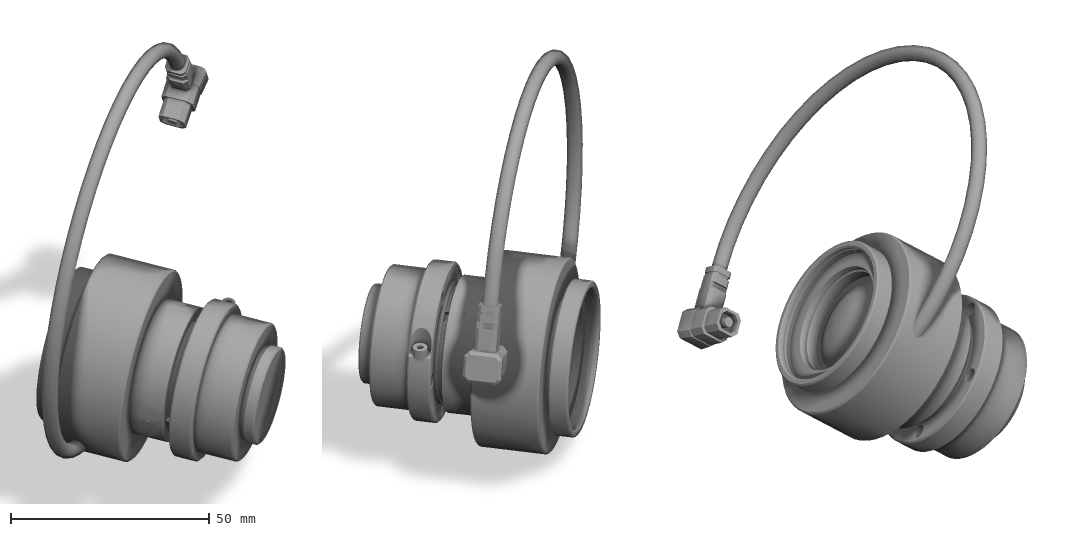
import cadquery as cq
import math

LENS_LENGTH = 55.55

FRONT_FLANGE_DIA = 39.9
FRONT_FLANGE_END = 5.0
FRONT_NECK_DIA = 31.4
FOCUS_RING_DIA = 50.0
FOCUS_RING_START = 6.4
FOCUS_RING_END = 24.0
BARREL_DIA = 35.1
BARREL_END = 32.9
GROOVE_DIA = 30.0
GROOVE_END = 34.5
GROOVE_RIDGE_DIA = 30.6
GROOVE_RIDGE_START = 33.7
GROOVE_RIDGE_END = 34.0
REAR_NECK_DIA = 31.2
CLAMP_DIA = 41.0
CLAMP_START = 35.4
CLAMP_END = 41.4
REAR_BARREL_DIA = 36.1
REAR_BARREL_END = 51.6
MOUNT_NECK_DIA = 24.4
MOUNT_DIA = 25.4
MOUNT_START = 52.4
EDGE_CHAMFER = 0.4

MOUTH_DIA = 37.0
THREAD_DIA = 36.2
MOUTH_DEPTH = 0.4
RECESS_DEPTH = 3.5
THREAD_GROOVE_COUNT = 2
FIRST_THREAD_GROOVE = 1.0
THREAD_GROOVE_PITCH = 1.4
THREAD_GROOVE_WIDTH = 0.6
THREAD_GROOVE_DIA = 36.6
SEAT_DIA = 28.6
SEAT_DEPTH = 5.4
RETAINER_DIA = 27.4
RETAINER_DEPTH = 8.5
GLASS_DIA = 24.0
GLASS_RADIUS = 24.5

SCREW_X = (CLAMP_START + CLAMP_END) / 2
SCREW_Y = 17.9
SCREW_POCKET_DIA = 5.7
SCREW_POCKET_FLOOR_Z = 7.5
SCREW_HEAD_DIA = 3.7
SCREW_HEAD_HEIGHT = 2.5
SCREW_SOCKET_DIA = 2.05
SCREW_SOCKET_DEPTH = 1.2
FACE_HOLE_COUNT = 5
FACE_HOLE_DIA = 3.7
FACE_HOLE_DEPTH = 4.0
FACE_HOLE_CIRCLE_DIA = 35.4

MARK_ANGLES = (60, 180, 300)
MARK_DIA = 0.5
MARK_DEPTH = 0.5
MARK_X = 29.0
NOTCH_WIDTH = 2.7
NOTCH_DEPTH = 1.5

CABLE_DIA = 4.0
CABLE_X = 12.15
CABLE_BEND_RADIUS = 52.05
CABLE_CENTER_Y = 7.15
CABLE_CENTER_Z = 32.42
CABLE_START_ANGLE = 243.0
CABLE_END_ANGLE = 22.0

STEM_START = 0.4
STEM_LENGTH_WIDTH = 6.0
STEM_SIDE_WIDTH = 5.5
STEM_CHAMFER = 0.9
COLLAR_LENGTH_WIDTH = 5.3
COLLAR_GROOVE_START = 1.9
COLLAR_GROOVE_END = 2.7
COLLAR_GROOVE_DEPTH = 0.25
NECK_START = 4.7
NECK_END = 6.3
NECK_LENGTH_WIDTH = 3.6

HOUSING_TOP = 12.1
HOUSING_BACK = -4.5
HOUSING_STEP = 0.7
PLUG_STEP = 5.5
PLUG_END = 10.6
HOUSING_HEIGHT = 8.1
HOUSING_MIDDLE = HOUSING_TOP + HOUSING_HEIGHT / 2
HOUSING_BACK_WIDTH = 10.0
HOUSING_STEP_WIDTH = 8.8
SLEEVE_HEIGHT = 7.6
SLEEVE_WIDTH = 8.4
PLUG_HEIGHT = 6.4
PLUG_WIDTH = 6.9
HOUSING_CHAMFER = 1.3
HOUSING_BACK_CHAMFER = 0.8
SOCKET_WALL = 0.7
SOCKET_DEPTH = 2.5
PIN_DIA = 2.5


def x_cylinder(diameter, start, end):
    """Cylinder on the optical axis between two X positions."""
    return cq.Workplane("YZ", origin=(start, 0, 0)).circle(diameter / 2).extrude(end - start)


def chamfered_ring(diameter, start, end):
    return x_cylinder(diameter, start, end).edges().chamfer(EDGE_CHAMFER)


def barrel():
    body = chamfered_ring(FRONT_FLANGE_DIA, 0, FRONT_FLANGE_END)
    body = body.union(x_cylinder(FRONT_NECK_DIA, FRONT_FLANGE_END, FOCUS_RING_START))
    body = body.union(chamfered_ring(FOCUS_RING_DIA, FOCUS_RING_START, FOCUS_RING_END))
    body = body.union(x_cylinder(BARREL_DIA, FOCUS_RING_END, BARREL_END))
    body = body.union(x_cylinder(GROOVE_DIA, BARREL_END, GROOVE_END))
    body = body.union(x_cylinder(GROOVE_RIDGE_DIA, GROOVE_RIDGE_START, GROOVE_RIDGE_END))
    body = body.union(x_cylinder(REAR_NECK_DIA, GROOVE_END, CLAMP_START))
    body = body.union(chamfered_ring(CLAMP_DIA, CLAMP_START, CLAMP_END))
    rear = x_cylinder(REAR_BARREL_DIA, CLAMP_END, REAR_BARREL_END)
    body = body.union(rear.faces(">X").chamfer(EDGE_CHAMFER))
    body = body.union(x_cylinder(MOUNT_NECK_DIA, REAR_BARREL_END, MOUNT_START))
    return body.union(chamfered_ring(MOUNT_DIA, MOUNT_START, LENS_LENGTH))


def front_recess():
    """Stepped bore of the lens mouth, ending on the domed front glass."""
    glass_sag = GLASS_RADIUS - math.sqrt(GLASS_RADIUS ** 2 - (GLASS_DIA / 2) ** 2)
    glass_apex = RETAINER_DEPTH - glass_sag
    mid_angle = math.asin(GLASS_DIA / 2 / GLASS_RADIUS) / 2
    mid_radius = GLASS_RADIUS * math.sin(mid_angle)
    mid_depth = glass_apex + GLASS_RADIUS * (1 - math.cos(mid_angle))
    profile = (
        cq.Workplane("XY")
        .moveTo(0, 0)
        .lineTo(0, MOUTH_DIA / 2)
        .lineTo(MOUTH_DEPTH, THREAD_DIA / 2)
        .lineTo(RECESS_DEPTH, THREAD_DIA / 2)
        .lineTo(RECESS_DEPTH, SEAT_DIA / 2)
        .lineTo(SEAT_DEPTH, SEAT_DIA / 2)
        .lineTo(SEAT_DEPTH, RETAINER_DIA / 2)
        .lineTo(RETAINER_DEPTH, RETAINER_DIA / 2)
        .lineTo(RETAINER_DEPTH, GLASS_DIA / 2)
        .threePointArc((mid_depth, mid_radius), (glass_apex, 0))
        .close()
    )
    recess = profile.revolve(360, (0, 0, 0), (1, 0, 0))
    for index in range(THREAD_GROOVE_COUNT):
        start = FIRST_THREAD_GROOVE + index * THREAD_GROOVE_PITCH
        recess = recess.union(x_cylinder(THREAD_GROOVE_DIA, start, start + THREAD_GROOVE_WIDTH))
    return recess


def clamp_screw_pocket():
    """Pocket for the clamp screw, open towards +Y and +Z."""
    height = CLAMP_DIA / 2 - SCREW_POCKET_FLOOR_Z
    plane = cq.Workplane("XY", origin=(SCREW_X, SCREW_Y, SCREW_POCKET_FLOOR_Z))
    pocket = plane.circle(SCREW_POCKET_DIA / 2).extrude(height)
    open_side = plane.rect(SCREW_POCKET_DIA, CLAMP_DIA / 2).extrude(height)
    return pocket.union(open_side.translate((0, CLAMP_DIA / 4, 0)))


def clamp_screw():
    plane = cq.Workplane("XY", origin=(SCREW_X, SCREW_Y, SCREW_POCKET_FLOOR_Z))
    head = plane.circle(SCREW_HEAD_DIA / 2).extrude(SCREW_HEAD_HEIGHT)
    return head.faces(">Z").workplane().polygon(6, SCREW_SOCKET_DIA).cutBlind(-SCREW_SOCKET_DEPTH)


def clamp_face_holes():
    return (
        cq.Workplane("YZ", origin=(CLAMP_START, 0, 0))
        .polarArray(FACE_HOLE_CIRCLE_DIA / 2, 0, 360, FACE_HOLE_COUNT)
        .circle(FACE_HOLE_DIA / 2)
        .extrude(FACE_HOLE_DEPTH)
    )


def radial_cuts():
    """Pin-prick marks on the barrel and one notch in the groove behind each."""
    mark = (
        cq.Workplane("XZ", origin=(MARK_X, BARREL_DIA / 2, 0))
        .circle(MARK_DIA / 2)
        .extrude(MARK_DEPTH)
    )
    notch = cq.Workplane("XY").box(GROOVE_END - BARREL_END, 2 * NOTCH_DEPTH, NOTCH_WIDTH)
    notch = notch.translate(((BARREL_END + GROOVE_END) / 2, GROOVE_DIA / 2, 0))
    cuts = cq.Workplane("XY")
    for angle in MARK_ANGLES:
        cuts = cuts.add(mark.rotate((0, 0, 0), (1, 0, 0), angle))
        cuts = cuts.add(notch.rotate((0, 0, 0), (1, 0, 0), angle))
    return cuts.combine()


def cable_point(angle):
    """Y and Z of the cable centreline at an angle measured from +Y towards +Z."""
    y = CABLE_CENTER_Y + CABLE_BEND_RADIUS * math.cos(math.radians(angle))
    z = CABLE_CENTER_Z + CABLE_BEND_RADIUS * math.sin(math.radians(angle))
    return y, z


def cable():
    """Round cable bent along one arc, from inside the focus ring to the connector."""
    start = cable_point(CABLE_START_ANGLE)
    middle = cable_point((CABLE_START_ANGLE + CABLE_END_ANGLE) / 2)
    end = cable_point(CABLE_END_ANGLE)
    path = cq.Workplane("YZ", origin=(CABLE_X, 0, 0)).moveTo(*start).threePointArc(middle, end)
    turn = math.radians(CABLE_START_ANGLE)
    section_plane = cq.Plane(
        origin=(CABLE_X, *start),
        xDir=(1, 0, 0),
        normal=(0, math.sin(turn), -math.cos(turn)),
    )
    return cq.Workplane(section_plane).circle(CABLE_DIA / 2).sweep(path)


def stem_section(length_width, side_width, start, end):
    """Block around the cable axis, between two distances down from the cable end."""
    return cq.Workplane("XY", origin=(0, 0, start)).rect(length_width, side_width).extrude(end - start)


def connector_stem():
    """Collar and stem with flush sides, parted by a neck, and a groove round the collar."""
    collar = stem_section(COLLAR_LENGTH_WIDTH, STEM_SIDE_WIDTH, STEM_START, NECK_START)
    collar = collar.edges("|Z").chamfer(STEM_CHAMFER)
    groove_core = stem_section(
        COLLAR_LENGTH_WIDTH - 2 * COLLAR_GROOVE_DEPTH,
        STEM_SIDE_WIDTH - 2 * COLLAR_GROOVE_DEPTH,
        COLLAR_GROOVE_START,
        COLLAR_GROOVE_END,
    ).edges("|Z").chamfer(STEM_CHAMFER)
    groove = stem_section(
        COLLAR_LENGTH_WIDTH, STEM_SIDE_WIDTH, COLLAR_GROOVE_START, COLLAR_GROOVE_END
    ).cut(groove_core)
    cable_end = cq.Workplane("XY").circle(CABLE_DIA / 2).extrude(STEM_START)
    neck = stem_section(NECK_LENGTH_WIDTH, STEM_SIDE_WIDTH, NECK_START, NECK_END)
    stem = stem_section(STEM_LENGTH_WIDTH, STEM_SIDE_WIDTH, NECK_END, HOUSING_MIDDLE)
    stem = stem.edges("|Z").chamfer(STEM_CHAMFER)
    return collar.cut(groove).union(cable_end).union(neck).union(stem)


def housing_section(start, end, width, height):
    """Block along the housing with its long edges chamfered."""
    block = cq.Workplane("YZ", origin=(start, 0, HOUSING_MIDDLE)).rect(width, height).extrude(end - start)
    return block.edges("|X").chamfer(HOUSING_CHAMFER)


def tapered_housing_back():
    """Blind end of the housing, narrowing towards the sleeve."""
    outline = [
        (HOUSING_BACK, -HOUSING_BACK_WIDTH / 2),
        (HOUSING_STEP, -HOUSING_STEP_WIDTH / 2),
        (HOUSING_STEP, HOUSING_STEP_WIDTH / 2),
        (HOUSING_BACK, HOUSING_BACK_WIDTH / 2),
    ]
    block = cq.Workplane("XY", origin=(0, 0, HOUSING_TOP)).polyline(outline).close()
    block = block.extrude(HOUSING_HEIGHT)
    long_edges = block.faces("<Z or >Z").edges("not |Y")
    return long_edges.chamfer(HOUSING_CHAMFER).faces("<X").chamfer(HOUSING_BACK_CHAMFER)


def connector_housing():
    housing = tapered_housing_back()
    housing = housing.union(housing_section(HOUSING_STEP, PLUG_STEP, SLEEVE_WIDTH, SLEEVE_HEIGHT))
    housing = housing.union(housing_section(PLUG_STEP, PLUG_END, PLUG_WIDTH, PLUG_HEIGHT))
    socket_width = PLUG_WIDTH - 2 * SOCKET_WALL
    socket_height = PLUG_HEIGHT - 2 * SOCKET_WALL
    socket_floor = PLUG_END - SOCKET_DEPTH
    housing = housing.cut(housing_section(socket_floor, PLUG_END, socket_width, socket_height))
    pin_plane = cq.Workplane("YZ", origin=(socket_floor, 0, HOUSING_MIDDLE))
    return housing.union(pin_plane.circle(PIN_DIA / 2).extrude(SOCKET_DEPTH))


def connector():
    """Connector placed on the cable end, tilted to follow the cable."""
    tilt = math.radians(CABLE_END_ANGLE)
    placement = cq.Plane(
        origin=(CABLE_X, *cable_point(CABLE_END_ANGLE)),
        xDir=(0, -math.cos(tilt), -math.sin(tilt)),
        normal=(0, math.sin(tilt), -math.cos(tilt)),
    )
    local = connector_stem().union(connector_housing())
    return cq.Workplane("XY").add(local.val().located(cq.Location(placement)))


lens = barrel().cut(front_recess())
lens = lens.cut(clamp_screw_pocket()).union(clamp_screw())
lens = lens.cut(clamp_face_holes()).cut(radial_cuts())
result = lens.union(cable()).union(connector())